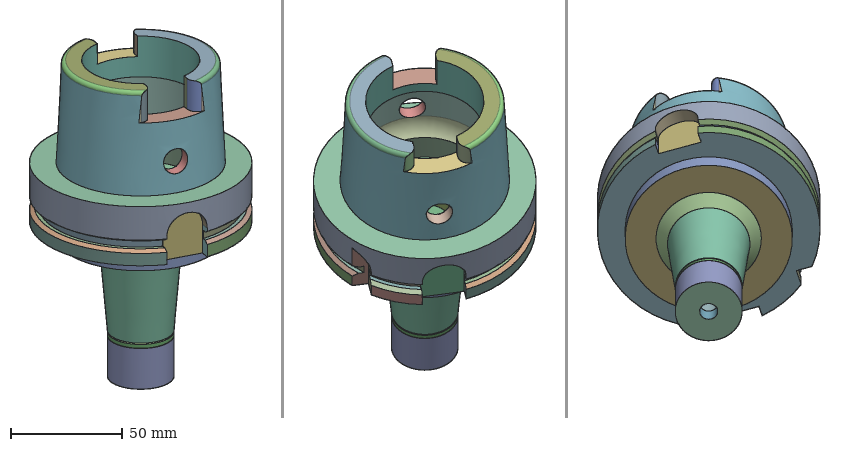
import cadquery as cq
import math


shank_length = 50.0
shank_base_diameter = 76.1
shank_tip_diameter = 71.3
shank_rim_radius = 2.0

flange_diameter = 100.0
flange_bottom = -29.0
groove_floor_diameter = 91.8
groove_middle = -19.7
groove_width = 3.9
groove_chamfer_depth = 2.2
groove_chamfer_height = 1.32

collar_diameter = 75.0
collar_bottom = -36.9
nose_cone_diameter = 47.3
nose_top_diameter = 37.0
nose_top = -42.0
nose_tip = -82.3

nut_diameter = 30.0
ring_gap = 0.6
ring_height = 1.9
nut_gap = 0.2
overall_length = 155.0
neck_diameter = 24.0
neck_length_in_nut = 12.4
nut_bore_diameter = 8.0

mouth_diameter = 53.0
mouth_depth = 20.0
chamber_diameter = 63.0
chamber_straight_depth = 40.5
chamber_floor_radius = 10.0
cavity_depth = 61.5
tube_bore_diameter = 24.0
tube_bore_length = 15.5
coolant_bore_diameter = 12.0

key_width = 20.0
drive_slot_corner_radius = 5.0
drive_slot_flat_offset = 32.5
left_drive_slot_depth = 10.0
right_drive_slot_depth = 15.0

keyway_top = -5.0
keyway_floor_offset = 44.0
notch_corner_offset = 31.5

cross_hole_diameter = 12.0
cross_hole_height = 15.2

key_radius = key_width / 2
nut_bottom = shank_length - overall_length
ring_top = nose_tip - ring_gap
ring_bottom = ring_top - ring_height
nut_top = ring_bottom - nut_gap
neck_bottom = nut_top - neck_length_in_nut
cavity_floor = shank_length - cavity_depth


def make_blank():
    """Solid of revolution with every outer surface of the holder."""
    flange_radius = flange_diameter / 2
    groove_radius = groove_floor_diameter / 2
    chamfer_radius = flange_radius - groove_chamfer_depth
    groove_top = groove_middle + groove_width / 2
    groove_bottom = groove_middle - groove_width / 2
    profile = [
        (0, shank_length),
        (shank_tip_diameter / 2, shank_length),
        (shank_base_diameter / 2, 0),
        (flange_radius, 0),
        (flange_radius, groove_top + groove_chamfer_height),
        (chamfer_radius, groove_top),
        (groove_radius, groove_top),
        (groove_radius, groove_bottom),
        (chamfer_radius, groove_bottom),
        (flange_radius, groove_bottom - groove_chamfer_height),
        (flange_radius, flange_bottom),
        (collar_diameter / 2, flange_bottom),
        (collar_diameter / 2, collar_bottom),
        (nose_cone_diameter / 2, collar_bottom),
        (nose_top_diameter / 2, nose_top),
        (nut_diameter / 2, nose_tip),
        (neck_diameter / 2, nose_tip),
        (neck_diameter / 2, neck_bottom),
        (0, neck_bottom),
    ]
    blank = cq.Workplane("XZ").polyline(profile).close().revolve(360, (0, 0), (0, 1))
    return blank.faces(">Z").edges().fillet(shank_rim_radius)


def make_cavity():
    """Stepped hollow along the axis, from the shank mouth down to the end of the neck."""
    mouth_radius = mouth_diameter / 2
    chamber_radius = chamber_diameter / 2
    mouth_bottom = shank_length - mouth_depth
    round_top = shank_length - chamber_straight_depth
    round_centre = chamber_radius - chamber_floor_radius
    round_angle = math.acos((mouth_radius - round_centre) / chamber_floor_radius)
    round_middle = (
        round_centre + chamber_floor_radius * math.cos(round_angle / 2),
        round_top - chamber_floor_radius * math.sin(round_angle / 2),
    )
    round_bottom = round_top - chamber_floor_radius * math.sin(round_angle)
    tube_bore_radius = tube_bore_diameter / 2
    tube_bore_bottom = cavity_floor - tube_bore_length
    coolant_bore_radius = coolant_bore_diameter / 2
    return (
        cq.Workplane("XZ")
        .moveTo(0, shank_length)
        .lineTo(mouth_radius, shank_length)
        .lineTo(mouth_radius, mouth_bottom)
        .lineTo(chamber_radius, mouth_bottom)
        .lineTo(chamber_radius, round_top)
        .threePointArc(round_middle, (mouth_radius, round_bottom))
        .lineTo(mouth_radius, cavity_floor)
        .lineTo(tube_bore_radius, cavity_floor)
        .lineTo(tube_bore_radius, tube_bore_bottom)
        .lineTo(coolant_bore_radius, tube_bore_bottom)
        .lineTo(coolant_bore_radius, neck_bottom)
        .lineTo(0, neck_bottom)
        .close()
        .revolve(360, (0, 0), (0, 1))
    )


def make_drive_slot(side, depth):
    """Slot in the shank rim that flares through round corners; side is -1 or +1 along X."""
    half_width = key_width / 2
    corner = drive_slot_corner_radius
    flat = side * drive_slot_flat_offset
    corner_start = side * (drive_slot_flat_offset - corner)
    corner_inset = corner * (1 - math.sin(math.pi / 4))
    corner_middle = side * (drive_slot_flat_offset - corner_inset)
    corner_middle_y = half_width + corner_inset
    reach = shank_base_diameter / 2
    return (
        cq.Workplane("XY", origin=(0, 0, shank_length - depth))
        .moveTo(0, -half_width)
        .lineTo(corner_start, -half_width)
        .threePointArc((corner_middle, -corner_middle_y), (flat, -half_width - corner))
        .lineTo(flat, -reach)
        .lineTo(side * reach, -reach)
        .lineTo(side * reach, reach)
        .lineTo(flat, reach)
        .lineTo(flat, half_width + corner)
        .threePointArc((corner_middle, corner_middle_y), (corner_start, half_width))
        .lineTo(0, half_width)
        .close()
        .extrude(depth)
    )


def make_keyway(side, floor_offset, centre_y):
    """Keyway with a round top and a flat floor square to X, open at the flange bottom."""
    arch_centre = keyway_top - key_radius
    return (
        cq.Workplane("YZ", origin=(side * floor_offset, 0, 0))
        .moveTo(centre_y - key_radius, flange_bottom)
        .lineTo(centre_y - key_radius, arch_centre)
        .threePointArc((centre_y, keyway_top), (centre_y + key_radius, arch_centre))
        .lineTo(centre_y + key_radius, flange_bottom)
        .close()
        .extrude(side * (flange_diameter / 2 - floor_offset))
    )


def make_holder():
    """Hollow shank, flange and nose in one piece."""
    cross_hole = (
        cq.Workplane("YZ")
        .center(0, cross_hole_height)
        .circle(cross_hole_diameter / 2)
        .extrude(shank_base_diameter / 2, both=True)
    )
    return (
        make_blank()
        .cut(make_cavity())
        .cut(make_drive_slot(-1, left_drive_slot_depth))
        .cut(make_drive_slot(1, right_drive_slot_depth))
        .cut(make_keyway(-1, keyway_floor_offset, 0))
        .cut(make_keyway(1, keyway_floor_offset, 0))
        .cut(make_keyway(-1, notch_corner_offset, notch_corner_offset + key_radius))
        .cut(cross_hole)
    )


def make_sleeve(top, bottom, bore_diameter):
    """Plain cylinder of the nut's diameter with a bore along the axis."""
    return (
        cq.Workplane("XY", origin=(0, 0, bottom))
        .circle(nut_diameter / 2)
        .circle(bore_diameter / 2)
        .extrude(top - bottom)
    )


def make_nut():
    """Clamping nut with a socket on top that the holder's neck fills."""
    neck_socket = (
        cq.Workplane("XY", origin=(0, 0, neck_bottom))
        .circle(neck_diameter / 2)
        .extrude(neck_length_in_nut)
    )
    return make_sleeve(nut_top, nut_bottom, nut_bore_diameter).cut(neck_socket)


holder = make_holder()
ring = make_sleeve(ring_top, ring_bottom, neck_diameter)
nut = make_nut()

result = cq.Compound.makeCompound([holder.val(), ring.val(), nut.val()])